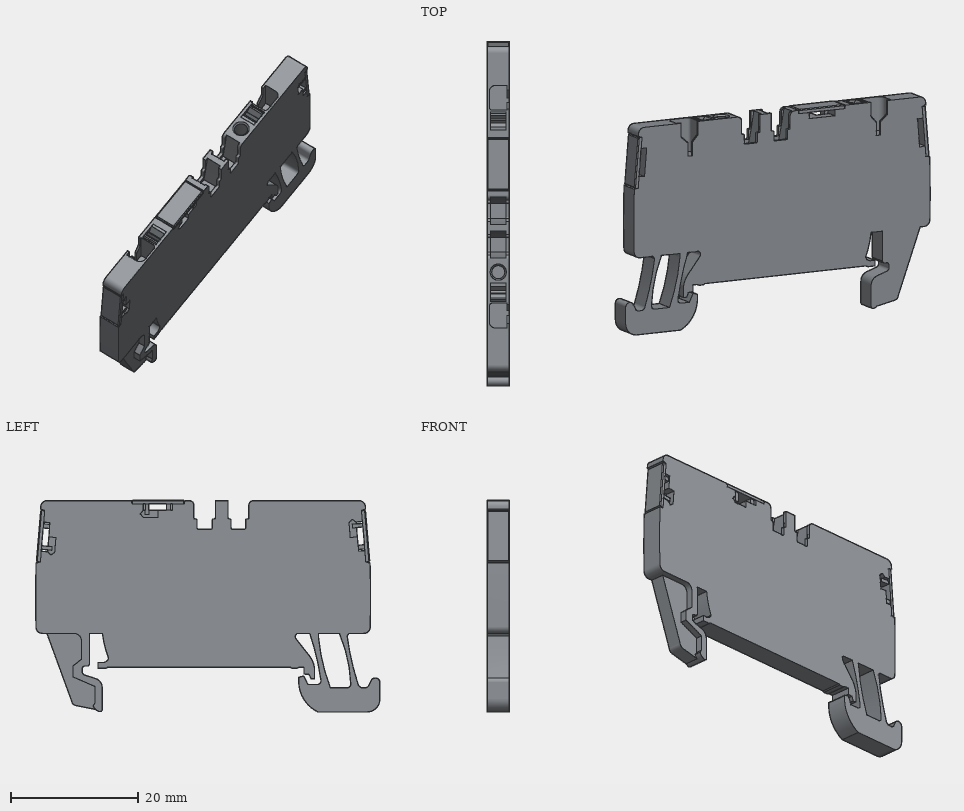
import cadquery as cq
import math

WIDTH = 3.5
HALF = WIDTH / 2

TOP = 33.3
SHOULDER = 12.35
BASE = 7.05
END_Y = 27.1
BLOCK_LOW_Y = -25.65
BLOCK_MID = (END_Y + BLOCK_LOW_Y) / 2
BLOCK_HALF = (END_Y - BLOCK_LOW_Y) / 2
OVERLAP = 0.55
SLOPE = 4.8
SLOPE_START = 23.65
BULGE = 0.08
TOP_RADIUS = 1.05
LOWER_RADIUS = 1.05

WEB_RECESS = 1.1

CHANNEL_FLOOR = 28.8
CHANNEL_STEP = 30.4
STEP_SIZE = 0.5
CHANNEL_CORNER = 0.2
CHANNELS = [(-1.2, 2.15), (-6.45, -3.2)]
CHANNEL_ROUND = 0.75
POCKET_WIDTH = 2.45
POCKET_DROP = 0.65

TEST_Y = -9.15
TEST_RADIUS = 1.05
TEST_CHAMFER = 0.245
TEST_DEPTH = 4.35

CONTACT_MID = 1.15
PUSHER_START, PUSHER_END = 12.05, 14.9
ENTRY_START, ENTRY_END = 15.2, 19.1
PUSHER_HALF = 1.25
PUSHER_DEPTH = 4.35
VALLEY_START, VALLEY_BOTTOM = 12.55, 13.2
RIDGE_TOP, RIDGE_FOOT = 13.55, 13.8
VALLEY_END = 14.35
VALLEY_DEPTH = 0.85
END_BEVEL = 0.25
RIDGE_DROP = 0.4
ENTRY_HALF = 1.4
ENTRY_DEPTH = 5.4
ENTRY_INNER_RADIUS, ENTRY_OUTER_RADIUS = 0.5, 1.0
LOW_WALL_DROP = 2.15
LOW_WALL_SLOPE = 1.1
LOW_WALL_START, LOW_WALL_END = 15.4, 18.4
GAP_START, GAP_END = 16.4, 17.15

MARKER_LENGTH = 8.15
MARKER_THICK = 0.65
SEAT_FLARE = 0.15
MARKER_EDGE = 0.15
LONG_LEG = (1.45, 2.05, 2.3)
SHORT_LEG = (-2.0, -1.3, 1.6)
LEG_INSET = 0.2
CLIP_SLOT = (-2.2, 2.35, 1.6)
HOOK_BOTTOM = 2.75
HOOK_TIP = 2.2
HOOK_POINT = 0.5
HOOK_DEPTH = 1.6
TOP_MARKER_Y = 7.8
MARKER_TOP = 33.4
END_MARKER_Y = 25.9
END_MARKER_Z = 27.7
MARKER_PLACES = [
    (TOP_MARKER_Y, MARKER_TOP, 0),
    (BLOCK_MID + END_MARKER_Y, END_MARKER_Z, SLOPE - 90),
    (BLOCK_MID - END_MARKER_Y, END_MARKER_Z, 90 - SLOPE),
]


def prism(sketch_points, x_start, x_end):
    """Polygon of (Y, Z) points extruded along X."""
    return (
        cq.Workplane("YZ").workplane(offset=x_start)
        .polyline(sketch_points).close().extrude(x_end - x_start)
    )


def block(x_range, y_range, z_range):
    """Box between the given limits."""
    sizes = [high - low for low, high in (x_range, y_range, z_range)]
    corner = [low for low, high in (x_range, y_range, z_range)]
    return cq.Workplane("XY").box(*sizes, centered=False).translate(tuple(corner))


def main_block():
    """Main block with bulging lower ends, leaning upper ends and rounded corners."""
    lean = (TOP - SLOPE_START) * math.tan(math.radians(SLOPE))
    edge_half = BLOCK_HALF - BULGE
    low, high = BLOCK_MID - edge_half, BLOCK_MID + edge_half
    bulge_z = (SHOULDER + SLOPE_START) / 2
    body = (
        cq.Workplane("YZ").workplane(offset=-HALF)
        .moveTo(low, SHOULDER)
        .lineTo(high, SHOULDER)
        .threePointArc((high + BULGE, bulge_z), (high, SLOPE_START))
        .lineTo(high - lean, TOP)
        .lineTo(low + lean, TOP)
        .lineTo(low, SLOPE_START)
        .threePointArc((low - BULGE, bulge_z), (low, SHOULDER))
        .close().extrude(WIDTH)
    )
    body = body.edges("|X and >Z").fillet(TOP_RADIUS)
    return body.edges("|X and <Z").fillet(LOWER_RADIUS)


def centre_block():
    """Lower middle of the housing, with the lips that grip the rail."""
    outline = (
        cq.Workplane("YZ").workplane(offset=-HALF)
        .moveTo(16.6, SHOULDER + OVERLAP)
        .lineTo(16.6, SHOULDER)
        .threePointArc((16.2, 10.3), (15.6, 8.45))
        .threePointArc((16.0, 7.95), (16.6, 7.8))
        .lineTo(17.3, 7.8)
        .lineTo(17.3, 6.9)
        .lineTo(16.0, 6.9)
        .lineTo(15.7, BASE)
        .lineTo(-13.0, BASE)
        .lineTo(-13.25, 6.9)
        .lineTo(-14.05, 6.9)
        .lineTo(-14.35, BASE)
        .lineTo(-15.15, BASE)
        .lineTo(-15.15, 5.95)
        .lineTo(-15.95, 5.9)
        .lineTo(-16.25, 5.2)
        .lineTo(-16.8, 5.2)
        .lineTo(-16.8, 7.05)
        .threePointArc((-16.45, 8.2), (-15.65, 9.3))
        .lineTo(-13.95, 11.5)
        .threePointArc((-13.85, 12.05), (-14.1, SHOULDER))
        .lineTo(-14.1, SHOULDER + OVERLAP)
        .close()
    )
    return outline.extrude(WIDTH)


def spring_foot():
    """Foot at the -Y end, hung on two bent arms with a window between them."""
    foot = (
        cq.Workplane("YZ").workplane(offset=-HALF)
        .moveTo(-16.05, SHOULDER + OVERLAP)
        .lineTo(-16.05, SHOULDER)
        .threePointArc((-17.1, 8.8), (-17.8, 5.1))
        .threePointArc((-17.7, 4.55), (-17.25, 4.35))
        .lineTo(-15.8, 4.35)
        .lineTo(-15.3, 5.35)
        .lineTo(-15.1, 5.7)
        .lineTo(-14.3, 5.5)
        .lineTo(-14.3, 4.5)
        .threePointArc((-15.2, 1.9), (-17.35, 0))
        .lineTo(-25.1, 0)
        .threePointArc((-26.5, 0.6), (-END_Y, 2.0))
        .lineTo(-END_Y, 4.7)
        .threePointArc((-26.4, 5.35), (-25.7, 4.95))
        .lineTo(-25.3, 4.2)
        .threePointArc((-25.05, 3.9), (-24.75, 3.85))
        .lineTo(-24.25, 3.85)
        .threePointArc((-23.85, 4.05), (-23.65, 4.5))
        .threePointArc((-22.6, 8.3), (-21.95, 12.0))
        .lineTo(-22.25, SHOULDER)
        .lineTo(-22.25, SHOULDER + OVERLAP)
        .close().extrude(WIDTH)
    )
    window = (
        cq.Workplane("YZ").workplane(offset=-HALF)
        .moveTo(-17.45, SHOULDER)
        .lineTo(-20.7, SHOULDER)
        .threePointArc((-22.0, 8.25), (-22.5, 4.35))
        .threePointArc((-22.35, 4.0), (-22.0, 3.85))
        .lineTo(-19.3, 3.85)
        .threePointArc((-18.1, 7.75), (-17.45, 11.7))
        .close().extrude(WIDTH)
    )
    return foot.cut(window)


def fixed_foot():
    """Foot at the +Y end: a bent full-width rim backed by a thinner web."""
    rim = (
        cq.Workplane("YZ").workplane(offset=-HALF)
        .moveTo(18.6, SHOULDER + OVERLAP)
        .lineTo(18.6, 7.55)
        .lineTo(18.8, 7.2)
        .lineTo(19.35, 7.2)
        .threePointArc((19.65, 7.1), (19.75, 6.85))
        .lineTo(19.75, 6.25)
        .threePointArc((19.65, 6.0), (19.4, 5.85))
        .lineTo(17.75, 5.3)
        .threePointArc((16.9, 4.75), (16.6, 3.8))
        .lineTo(16.6, 0.45)
        .threePointArc((16.7, 0.15), (17.05, 0.05))
        .threePointArc((17.6, 0.4), (18.05, 1.0))
        .lineTo(17.75, 1.45)
        .lineTo(17.75, 4.0)
        .lineTo(21.2, 5.55)
        .lineTo(21.2, 7.25)
        .lineTo(19.9, 8.3)
        .lineTo(19.9, 11.35)
        .threePointArc((20.25, 12.05), (20.95, SHOULDER))
        .lineTo(20.95, SHOULDER + OVERLAP)
        .close().extrude(WIDTH)
    )
    web = (
        cq.Workplane("YZ").workplane(offset=-HALF + WEB_RECESS)
        .moveTo(25.3, SHOULDER + OVERLAP)
        .lineTo(25.3, SHOULDER)
        .lineTo(21.4, 1.7)
        .threePointArc((21.2, 1.25), (20.8, 1.05))
        .lineTo(17.6, 0.4)
        .lineTo(17.35, 4.35)
        .lineTo(20.6, 5.85)
        .lineTo(19.5, 8.15)
        .lineTo(19.5, SHOULDER + OVERLAP)
        .close().extrude(WIDTH - WEB_RECESS)
    )
    return rim.union(web)


def bridge_channel(low, high):
    """Stepped channel across the top, widened in the middle of the slice."""
    floor_low, floor_high = low + STEP_SIZE, high - STEP_SIZE
    through = prism(
        [(floor_low, CHANNEL_FLOOR), (floor_high, CHANNEL_FLOOR), (floor_high, CHANNEL_STEP),
         (high, CHANNEL_STEP), (high, TOP), (low, TOP),
         (low, CHANNEL_STEP), (floor_low, CHANNEL_STEP)],
        -HALF, HALF,
    )
    through = through.edges("|X").edges("not >Z").fillet(CHANNEL_CORNER)
    pocket_floor = CHANNEL_FLOOR - POCKET_DROP
    middle = prism(
        [(floor_low, pocket_floor), (floor_high, pocket_floor), (high, CHANNEL_STEP),
         (high + STEP_SIZE, TOP), (low - STEP_SIZE, TOP), (low, CHANNEL_STEP)],
        -POCKET_WIDTH / 2, POCKET_WIDTH / 2,
    )
    return through.union(middle)


def rim_rounding(y_wall, direction):
    """Waste removed to round the outer rim of a channel at y_wall."""
    return (
        cq.Workplane("YZ").workplane(offset=-HALF)
        .moveTo(y_wall, TOP)
        .lineTo(y_wall, TOP - CHANNEL_ROUND)
        .radiusArc((y_wall + direction * CHANNEL_ROUND, TOP), direction * CHANNEL_ROUND)
        .close().extrude(WIDTH)
    )


def test_hole():
    """Blind test hole with a chamfered rim."""
    hole = cq.Workplane("XY", origin=(0, TEST_Y, TOP)).circle(TEST_RADIUS).extrude(-TEST_DEPTH)
    rim_start = cq.Vector(0, TEST_Y, TOP - TEST_CHAMFER)
    rim = cq.Workplane("XY").add(
        cq.Solid.makeCone(TEST_RADIUS, TEST_RADIUS + TEST_CHAMFER, TEST_CHAMFER, pnt=rim_start)
    )
    return hole.union(rim)


def contact_range(start, end, side):
    """Y limits of a span measured from the middle of the contacts."""
    return tuple(sorted((CONTACT_MID + side * start, CONTACT_MID + side * end)))


def contact_points(points, side):
    """Points given by their distance from the middle of the contacts and their height."""
    return [(CONTACT_MID + side * distance, z) for distance, z in points]


def wire_entry(side):
    """Wire pocket with two rounded corners; its +X wall falls from both ends to a gap."""
    bottom = TOP - ENTRY_DEPTH
    span = contact_range(ENTRY_START, ENTRY_END, side)
    pocket = block((-ENTRY_HALF, ENTRY_HALF), span, (bottom, TOP))
    inner, outer = ("<Y", ">Y") if side > 0 else (">Y", "<Y")
    pocket = pocket.edges("|Z and <X").edges(inner).fillet(ENTRY_INNER_RADIUS)
    pocket = pocket.edges("|Z and <X").edges(outer).fillet(ENTRY_OUTER_RADIUS)
    wall_top = TOP - LOW_WALL_DROP
    gap_top = wall_top - LOW_WALL_SLOPE
    profile = [
        (LOW_WALL_START, TOP), (LOW_WALL_START, wall_top), (GAP_START, gap_top), (GAP_START, bottom),
        (GAP_END, bottom), (GAP_END, gap_top), (LOW_WALL_END, wall_top), (LOW_WALL_END, TOP),
    ]
    return pocket.union(prism(contact_points(profile, side), ENTRY_HALF, HALF))


def pusher_slot(side):
    """Slot that a pusher fills."""
    span = contact_range(PUSHER_START, PUSHER_END, side)
    return block((-PUSHER_HALF, PUSHER_HALF), span, (TOP - PUSHER_DEPTH, TOP))


def place_marker(shape, place):
    """Move a shape from the flat marker position to one of its places."""
    y, z, turn = place
    return shape.rotate((0, 0, 0), (1, 0, 0), turn).translate((0, y, z))


def marker_seat():
    """Seat for the strip, through slot for the legs and blind recess for the hook."""
    half_length = MARKER_LENGTH / 2
    half_mouth = half_length + SEAT_FLARE
    seat = prism(
        [(-half_length, -MARKER_THICK), (half_length, -MARKER_THICK), (half_mouth, 0),
         (half_mouth, MARKER_THICK), (-half_mouth, MARKER_THICK), (-half_mouth, 0)],
        -HALF, HALF,
    )
    start, end, reach = CLIP_SLOT
    slot = block((-HALF, HALF), (start, end), (-reach, -MARKER_THICK))
    hook = prism(
        [(0, -reach), (end, -reach), (end + HOOK_POINT, -HOOK_TIP),
         (end, -HOOK_BOTTOM), (0, -HOOK_BOTTOM)],
        -HALF, -HALF + HOOK_DEPTH,
    )
    return seat.union(slot).union(hook)


def make_housing():
    """Housing with every channel, hole, slot and seat cut into it."""
    housing = main_block()
    for part in (centre_block(), spring_foot(), fixed_foot()):
        housing = housing.union(part)
    for low, high in CHANNELS:
        housing = housing.cut(bridge_channel(low, high))
    housing = housing.cut(rim_rounding(CHANNELS[0][1], 1))
    housing = housing.cut(rim_rounding(CHANNELS[1][0], -1))
    housing = housing.cut(test_hole())
    for side in (1, -1):
        housing = housing.cut(wire_entry(side)).cut(pusher_slot(side))
    for place in MARKER_PLACES:
        housing = housing.cut(place_marker(marker_seat(), place))
    return housing


def make_pusher(side):
    """Pusher with a valley across its top and a ridge in the valley."""
    profile = [
        (PUSHER_START, TOP - PUSHER_DEPTH), (PUSHER_START, TOP), (VALLEY_START, TOP),
        (VALLEY_BOTTOM, TOP - VALLEY_DEPTH), (RIDGE_TOP, TOP - RIDGE_DROP),
        (RIDGE_FOOT, TOP - VALLEY_DEPTH), (VALLEY_END, TOP),
        (PUSHER_END - END_BEVEL, TOP), (PUSHER_END, TOP - END_BEVEL),
        (PUSHER_END, TOP - PUSHER_DEPTH),
    ]
    return prism(contact_points(profile, side), -PUSHER_HALF, PUSHER_HALF)


def make_marker(place):
    """Marker strip with a chamfered face and two legs."""
    half_length = MARKER_LENGTH / 2
    strip = block((-HALF, HALF), (-half_length, half_length), (-MARKER_THICK, 0))
    strip = strip.faces(">Z").chamfer(MARKER_EDGE)
    leg_span = (-HALF + LEG_INSET, -HALF + HOOK_DEPTH)
    for start, end, reach in (LONG_LEG, SHORT_LEG):
        strip = strip.union(block(leg_span, (start, end), (-reach, -MARKER_THICK)))
    return place_marker(strip, place)


housing = make_housing()
pushers = [make_pusher(side) for side in (1, -1)]
markers = [make_marker(place) for place in MARKER_PLACES]

result = cq.Compound.makeCompound(
    [housing.val(), *[p.val() for p in pushers], *[m.val() for m in markers]]
)